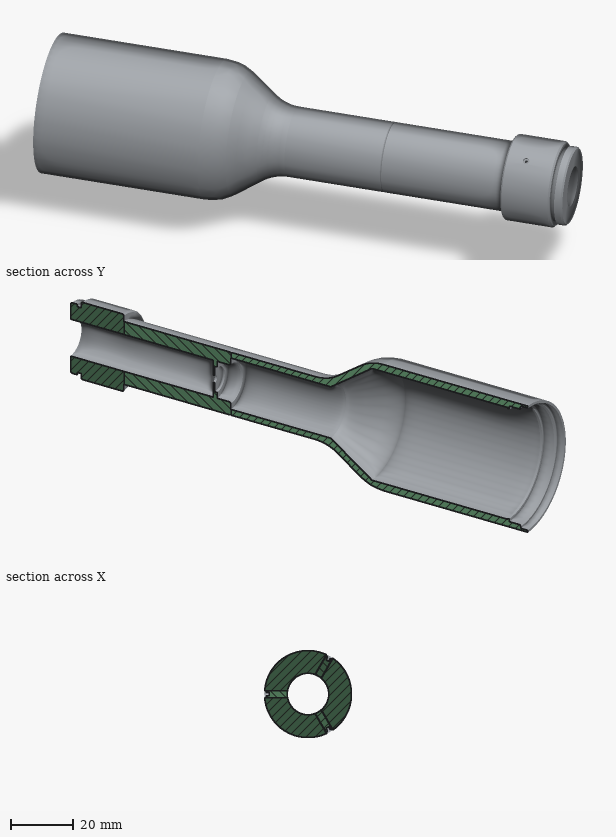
import cadquery as cq
import math

FULL_TURN = 360

TOTAL_LENGTH = 174.0
BARREL_END = 55.0
JOINT = 112.9
COLLAR_START = 153.6
COLLAR_END = 170.0
THREAD_START = 171.4

BARREL_RADIUS = 23.0
NECK_RADIUS = 11.5
COLLAR_RADIUS = 14.1
THREAD_RADIUS = 12.9
RELIEF_RADIUS = 12.0

TAPER_ANGLE = math.radians(35)
TAPER_ARC_RADIUS = 15.0
ARC_LENGTH = TAPER_ARC_RADIUS * math.sin(TAPER_ANGLE)
ARC_DROP = TAPER_ARC_RADIUS * (1 - math.cos(TAPER_ANGLE))
CONE_DROP = BARREL_RADIUS - NECK_RADIUS - 2 * ARC_DROP
CONE_LENGTH = CONE_DROP / math.tan(TAPER_ANGLE)

MOUTH_RADIUS = 22.1
MOUTH_DEPTH = 2.6
SEAT_RADIUS = 20.9
SEAT_DEPTH = 7.0
LAND_RADIUS = 19.8
LAND_LENGTH = 0.9
BARREL_BORE_RADIUS = 20.2
BARREL_BORE_END = 59.3
NECK_BORE_RADIUS = 9.2
NECK_BORE_START = BARREL_BORE_END + (BARREL_BORE_RADIUS - NECK_BORE_RADIUS) / math.tan(TAPER_ANGLE)
SEAT_CHAMFER = 0.5

TUBE_BORE_RADIUS = 6.6
TUBE_MOUTH_CHAMFER = 0.5
STOP_FRONT = JOINT + 5.2
STOP_POCKET_RADIUS = 4.5
STOP_POCKET_DEPTH = 0.9
STOP_THICKNESS = 1.7
APERTURE_RADIUS = 1.2

EDGE_CHAMFER = 0.5
JOINT_CHAMFER = 0.26

SCREW_COUNT = 3
SCREW_X = 160.4
SCREW_RADIUS = 1.0
SCREW_RECESS = 0.5
FIRST_SCREW_ANGLE = 90
SOCKET_SIDES = 6
SOCKET_ACROSS_CORNERS = 1.0
SOCKET_DEPTH = 1.0


def turned(profile):
    """Solid swept by a closed (x, radius) outline around the X axis."""
    return profile.close().revolve(FULL_TURN, (0, 0, 0), (1, 0, 0))


def make_bell():
    """Hollow barrel with a stepped mouth, tapering to a neck."""
    mid_angle = TAPER_ANGLE / 2
    mid_length = TAPER_ARC_RADIUS * math.sin(mid_angle)
    mid_drop = TAPER_ARC_RADIUS * (1 - math.cos(mid_angle))
    cone_start = BARREL_END + ARC_LENGTH
    cone_end = cone_start + CONE_LENGTH
    neck_start = cone_end + ARC_LENGTH
    outline = (
        cq.Workplane("XZ")
        .moveTo(0, MOUTH_RADIUS)
        .lineTo(0, BARREL_RADIUS)
        .lineTo(BARREL_END, BARREL_RADIUS)
        .threePointArc(
            (BARREL_END + mid_length, BARREL_RADIUS - mid_drop),
            (cone_start, BARREL_RADIUS - ARC_DROP),
        )
        .lineTo(cone_end, NECK_RADIUS + ARC_DROP)
        .threePointArc((neck_start - mid_length, NECK_RADIUS + mid_drop), (neck_start, NECK_RADIUS))
        .lineTo(JOINT - JOINT_CHAMFER, NECK_RADIUS)
        .lineTo(JOINT, NECK_RADIUS - JOINT_CHAMFER)
        .lineTo(JOINT, NECK_BORE_RADIUS)
        .lineTo(NECK_BORE_START, NECK_BORE_RADIUS)
        .lineTo(BARREL_BORE_END, BARREL_BORE_RADIUS)
        .lineTo(SEAT_DEPTH + LAND_LENGTH, BARREL_BORE_RADIUS)
        .lineTo(SEAT_DEPTH + LAND_LENGTH, LAND_RADIUS)
        .lineTo(SEAT_DEPTH, LAND_RADIUS)
        .lineTo(SEAT_DEPTH, SEAT_RADIUS)
        .lineTo(MOUTH_DEPTH + SEAT_CHAMFER, SEAT_RADIUS)
        .lineTo(MOUTH_DEPTH, SEAT_RADIUS + SEAT_CHAMFER)
        .lineTo(MOUTH_DEPTH, MOUTH_RADIUS)
    )
    return turned(outline)


def make_tube():
    """Straight tube, closed near its front by a stop with a small aperture."""
    stop_floor = STOP_FRONT + STOP_POCKET_DEPTH
    stop_back = STOP_FRONT + STOP_THICKNESS
    outline = (
        cq.Workplane("XZ")
        .moveTo(JOINT, TUBE_BORE_RADIUS + TUBE_MOUTH_CHAMFER)
        .lineTo(JOINT, NECK_RADIUS - JOINT_CHAMFER)
        .lineTo(JOINT + JOINT_CHAMFER, NECK_RADIUS)
        .lineTo(COLLAR_START, NECK_RADIUS)
        .lineTo(COLLAR_START, TUBE_BORE_RADIUS)
        .lineTo(stop_back, TUBE_BORE_RADIUS)
        .lineTo(stop_back, APERTURE_RADIUS)
        .lineTo(stop_floor, APERTURE_RADIUS)
        .lineTo(stop_floor, STOP_POCKET_RADIUS)
        .lineTo(STOP_FRONT, STOP_POCKET_RADIUS)
        .lineTo(STOP_FRONT, TUBE_BORE_RADIUS)
        .lineTo(JOINT + TUBE_MOUTH_CHAMFER, TUBE_BORE_RADIUS)
    )
    return turned(outline)


def turned_to_screw(shape, index):
    """Turn a shape from the +Z side of the axis to the place of the given screw."""
    angle = FIRST_SCREW_ANGLE + index * FULL_TURN / SCREW_COUNT
    return shape.rotate((0, 0, 0), (1, 0, 0), -angle)


def screw_cylinder(index, outer_radius):
    """Radial cylinder of a set screw, from the collar bore out to the given distance from the axis."""
    cylinder = (
        cq.Workplane("XY", origin=(SCREW_X, 0, TUBE_BORE_RADIUS))
        .circle(SCREW_RADIUS)
        .extrude(outer_radius - TUBE_BORE_RADIUS)
    )
    return turned_to_screw(cylinder, index)


def make_set_screw(index):
    """Cylinder with a hexagon socket in its outer end, which lies below the collar surface."""
    outer_radius = COLLAR_RADIUS - SCREW_RECESS
    socket = (
        cq.Workplane("XY", origin=(SCREW_X, 0, outer_radius - SOCKET_DEPTH))
        .polygon(SOCKET_SIDES, SOCKET_ACROSS_CORNERS)
        .extrude(SOCKET_DEPTH)
    )
    return screw_cylinder(index, outer_radius).cut(turned_to_screw(socket, index))


def make_mount():
    """Collar and threaded end, with radial holes for the set screws."""
    outline = (
        cq.Workplane("XZ")
        .moveTo(COLLAR_START, TUBE_BORE_RADIUS)
        .lineTo(COLLAR_START, COLLAR_RADIUS - EDGE_CHAMFER)
        .lineTo(COLLAR_START + EDGE_CHAMFER, COLLAR_RADIUS)
        .lineTo(COLLAR_END - EDGE_CHAMFER, COLLAR_RADIUS)
        .lineTo(COLLAR_END, COLLAR_RADIUS - EDGE_CHAMFER)
        .lineTo(COLLAR_END, RELIEF_RADIUS)
        .lineTo(THREAD_START, RELIEF_RADIUS)
        .lineTo(THREAD_START, THREAD_RADIUS)
        .lineTo(TOTAL_LENGTH - EDGE_CHAMFER, THREAD_RADIUS)
        .lineTo(TOTAL_LENGTH, THREAD_RADIUS - EDGE_CHAMFER)
        .lineTo(TOTAL_LENGTH, TUBE_BORE_RADIUS)
    )
    mount = turned(outline)
    for index in range(SCREW_COUNT):
        mount = mount.cut(screw_cylinder(index, COLLAR_RADIUS + SCREW_RADIUS))
    return mount


bell = make_bell()
tube = make_tube()
mount = make_mount()
set_screws = [make_set_screw(index) for index in range(SCREW_COUNT)]

result = cq.Compound.makeCompound(
    [bell.val(), tube.val(), mount.val(), *[screw.val() for screw in set_screws]]
)